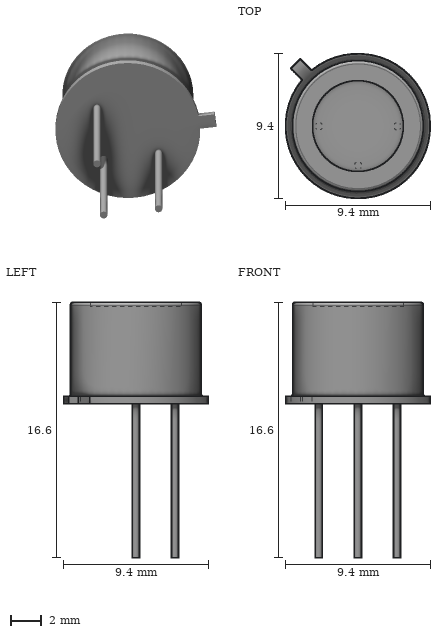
import cadquery as cq

package_height = 6.6
lead_length = 10.0

flange_diameter = 9.4
flange_thickness = 0.5

can_diameter = 8.5
can_top_radius = 0.2
can_base_radius = 0.1

window_diameter = 5.9
window_depth = 0.25

tab_width = 0.88
tab_reach = 5.73
tab_angle = 135.0

lead_diameter = 0.48
lead_offset = 2.54
lead_root = flange_thickness / 2
lead_places = [(-lead_offset, 0), (lead_offset, 0), (0, -lead_offset)]


def make_flange():
    return cq.Workplane("XY").circle(flange_diameter / 2).extrude(flange_thickness)


def make_tab():
    """Straight bar from the part axis out to the tab tip, as thick as the flange."""
    bar = cq.Workplane("XY").box(tab_reach, tab_width, flange_thickness, centered=(False, True, False))
    return bar.rotate((0, 0, 0), (0, 0, 1), tab_angle)


def make_can():
    """Can with a rounded top rim and a concave fillet at its foot, filled down through the flange."""
    can_radius = can_diameter / 2
    shoulder_z = package_height - can_top_radius
    foot_z = flange_thickness + can_base_radius
    profile = (
        cq.Workplane("XZ")
        .moveTo(0, 0)
        .lineTo(can_radius + can_base_radius, 0)
        .lineTo(can_radius + can_base_radius, flange_thickness)
        .radiusArc((can_radius, foot_z), can_base_radius)
        .lineTo(can_radius, shoulder_z)
        .radiusArc((can_radius - can_top_radius, package_height), -can_top_radius)
        .lineTo(0, package_height)
        .close()
    )
    return profile.revolve(360, (0, 0, 0), (0, 1, 0))


def make_window():
    """Cutting disc for the recess in the top of the can."""
    floor = cq.Workplane("XY").workplane(offset=package_height - window_depth)
    return floor.circle(window_diameter / 2).extrude(window_depth)


def make_leads():
    """Three round leads hanging below the flange and rooted inside it."""
    lead_ends = cq.Workplane("XY").workplane(offset=-lead_length).pushPoints(lead_places)
    return lead_ends.circle(lead_diameter / 2).extrude(lead_length + lead_root)


result = make_flange().union(make_tab()).union(make_can()).union(make_leads()).cut(make_window())